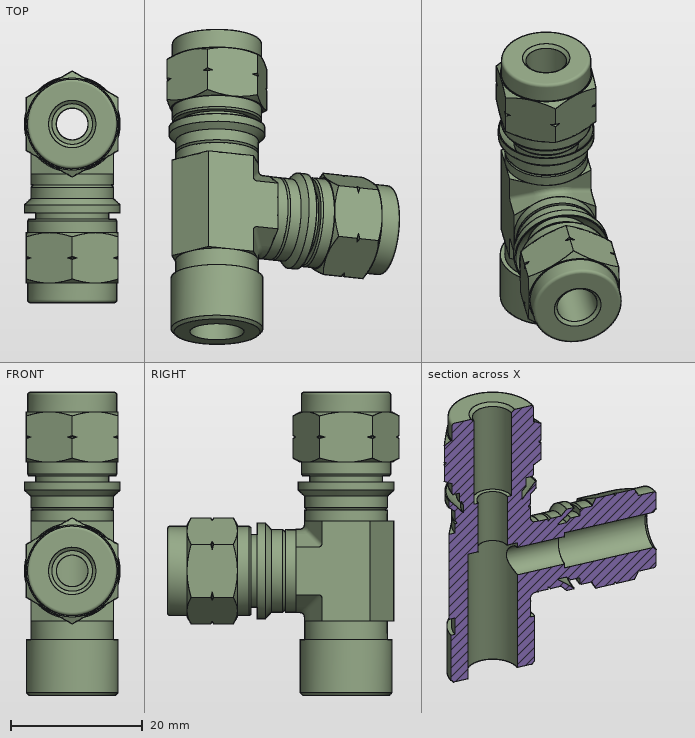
import cadquery as cq
import math

SIN_60 = math.sin(math.radians(60))
COS_60 = math.cos(math.radians(60))
TAN_30 = math.tan(math.radians(30))

overall_height = 46.15
arm_length = 27.18
body_half_length = 7.6
groove_start = 9.25
collar_end = 11.35
flange_start = 12.27
flange_end = 13.5
nut_start = 14.45
hex_start = 16.5
hex_end = 24.2
stem_start = 10.45
stem_end = overall_height - arm_length
stem_bore_top = 3.25
neck_taper_start = 12.9

collar_diameter = 12.6
flange_diameter = 14.6
neck_diameter = 11.1
undercut_diameter = 9.8
nut_diameter = 13.6
nut_flats = 14.0
stem_diameter = 14.0
bore_diameter = 4.8
stem_bore_diameter = 8.2
tube_diameter = 6.2

groove_width = 0.4
groove_depth = 0.35
nut_end_fillet = 0.45
nut_inner_chamfer_height = 0.3
nut_inner_chamfer_inset = 0.2
flange_rim = 0.2
cup_depth = 2.68
notch_depth = 0.35
notch_half_width = 0.25
stem_chamfer = 0.45
tube_mouth_chamfer = 0.5
tube_socket_depth = 15.23
body_corner_radius = 6.0
crotch_fillet = 0.7

collar_radius = collar_diameter / 2


def cylinder(diameter, start, end):
    return cq.Workplane("XY").workplane(offset=start).circle(diameter / 2).extrude(end - start)


def revolve_profile(points):
    """Revolve a closed (radius, height) outline about the Z axis."""
    return cq.Workplane("XZ").polyline(points).close().revolve(360, (0, 0, 0), (0, 1, 0))


def toward_branch(shape):
    """Turn a shape built along +Z so that it points along -Y."""
    return shape.rotate((0, 0, 0), (1, 0, 0), 90)


def body_section(start, end, sharp_back):
    """Hexagonal bar, flats at +/-X, with its +/-Y corners well rounded.

    The +Y corner stays sharp when sharp_back is set.
    """
    r = collar_radius
    flat_edge = r * TAN_30
    corner_y = 2 * flat_edge
    arc_center_y = corner_y - body_corner_radius / SIN_60
    arc_top_y = arc_center_y + body_corner_radius
    tangent_x = body_corner_radius * COS_60
    tangent_y = arc_center_y + body_corner_radius * SIN_60
    outline = (
        cq.Workplane("XY").workplane(offset=start)
        .moveTo(-tangent_x, -tangent_y)
        .threePointArc((0, -arc_top_y), (tangent_x, -tangent_y))
        .lineTo(r, -flat_edge)
        .lineTo(r, flat_edge)
    )
    if sharp_back:
        outline = outline.lineTo(0, corner_y)
    else:
        outline = outline.lineTo(tangent_x, tangent_y).threePointArc((0, arc_top_y), (-tangent_x, tangent_y))
    return outline.lineTo(-r, flat_edge).lineTo(-r, -flat_edge).close().extrude(end - start)


def tee_body():
    run = body_section(-body_half_length, body_half_length, sharp_back=True)
    branch = toward_branch(body_section(0, body_half_length, sharp_back=False))
    body = run.union(branch)
    slack = 0.005
    crotch = [
        edge for edge in body.edges().vals()
        if all(
            abs(point.y + abs(point.z)) < slack and point.y < -slack
            for point in (edge.startPoint(), edge.positionAt(0.5), edge.endPoint())
        )
    ]
    return body.newObject(crotch).fillet(crotch_fillet)


def nut_hex():
    corner_diameter = nut_flats / SIN_60
    corner_radius = corner_diameter / 2
    flat_radius = nut_flats / 2
    length = hex_end - hex_start
    prism = (
        cq.Workplane("XY").workplane(offset=hex_start)
        .polygon(6, corner_diameter).extrude(length)
        .rotate((0, 0, 0), (0, 0, 1), 30)
    )
    cone_height = (corner_radius - flat_radius) * TAN_30
    middle = (hex_start + hex_end) / 2
    envelope = revolve_profile([
        (0, hex_start),
        (flat_radius, hex_start),
        (corner_radius, hex_start + cone_height),
        (corner_radius, middle - notch_half_width),
        (corner_radius - notch_depth, middle),
        (corner_radius, middle + notch_half_width),
        (corner_radius, hex_end - cone_height),
        (flat_radius, hex_end),
        (0, hex_end),
    ])
    return prism.intersect(envelope)


def fitting_arm():
    """Compression end along +Z: grooved collar, cupped flange, undercut neck and nut."""
    neck_radius = neck_diameter / 2
    undercut_radius = undercut_diameter / 2
    cup_radius = flange_diameter / 2 - flange_rim
    taper_bottom = neck_taper_start - (neck_radius - undercut_radius)
    collar_to_neck = revolve_profile([
        (0, 0),
        (collar_radius, 0),
        (collar_radius, groove_start),
        (collar_radius - groove_depth, groove_start),
        (collar_radius, groove_start + groove_width),
        (collar_radius, collar_end),
        (flange_diameter / 2, flange_start),
        (flange_diameter / 2, flange_end),
        (cup_radius, flange_end),
        (undercut_radius, flange_end - cup_depth),
        (undercut_radius, taper_bottom),
        (neck_radius, neck_taper_start),
        (neck_radius, nut_start),
        (0, nut_start),
    ])
    nut_barrel = (
        cylinder(nut_diameter, nut_start, arm_length)
        .faces(">Z").edges().fillet(nut_end_fillet)
        .faces("<Z").edges().chamfer(nut_inner_chamfer_height, nut_inner_chamfer_inset)
    )
    return collar_to_neck.union(nut_barrel).union(nut_hex())


def arm_bore():
    """Through passage, tube socket and chamfered mouth of an arm along +Z."""
    tube_radius = tube_diameter / 2
    shoulder = arm_length - tube_socket_depth
    return revolve_profile([
        (0, 0),
        (bore_diameter / 2, 0),
        (bore_diameter / 2, shoulder),
        (tube_radius, shoulder),
        (tube_radius, arm_length - tube_mouth_chamfer),
        (tube_radius + tube_mouth_chamfer, arm_length),
        (0, arm_length),
    ])


def lower_stem():
    neck = cylinder(collar_diameter, -stem_start, 0)
    end = cylinder(stem_diameter, -stem_end, -stem_start).faces("<Z").edges().chamfer(stem_chamfer)
    return neck.union(end)


arm = fitting_arm()
bore = arm_bore()
solid = tee_body().union(arm).union(toward_branch(arm)).union(lower_stem())
result = (
    solid
    .cut(bore)
    .cut(toward_branch(bore))
    .cut(cylinder(stem_bore_diameter, -stem_end, stem_bore_top))
)